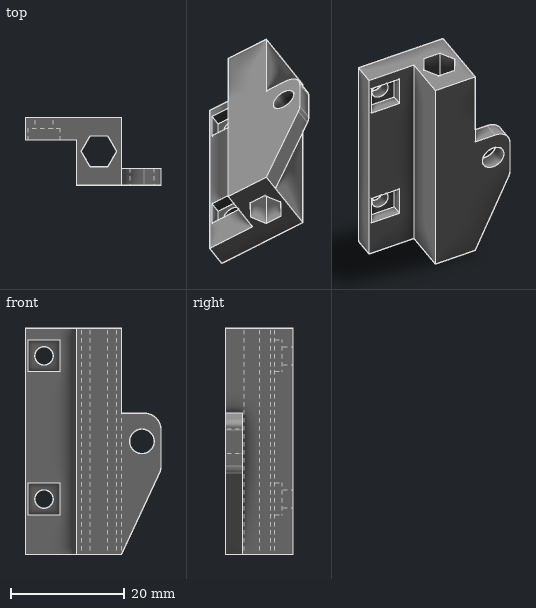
import cadquery as cq
import math

height = 40.0
depth = 12.0

plate_width = 9.0
plate_thickness = 4.0
plate_front = depth - plate_thickness

column_width = 8.0
column_right = plate_width + column_width
hex_sides = 6
hex_across_flats = 5.4
hex_across_corners = hex_across_flats / math.cos(math.pi / hex_sides)
hex_x = plate_width + column_width / 2
hex_y = depth / 2

lug_right = 24.0
lug_top = 25.0
lug_thickness = 3.0
lug_corner_radius = 3.0
lug_side_bottom = 15.0
lug_lower_radius = 3.0
pivot_diameter = 4.3
pivot_x = 20.6
pivot_z = 20.0

screw_diameter = 3.2
screw_x = 3.3
screw_heights = (9.8, 35.1)
nut_side = 5.6
nut_depth = 2.0


def make_body():
    """L-shaped profile of plate and column, extruded over the full height."""
    column = cq.Workplane("XY").box(column_width, depth, height, centered=False)
    plate = cq.Workplane("XY").box(column_right, plate_thickness, height, centered=False)
    return column.translate((plate_width, 0, 0)).union(plate.translate((0, plate_front, 0)))


def round_corner(lug, z, radius):
    """Fillet the outer lug corner at height z."""
    corner = cq.selectors.NearestToPointSelector((lug_right, lug_thickness / 2, z))
    return lug.edges(corner).fillet(radius)


def make_lug():
    """Flat lug with a sloping lower edge and rounded outer corners."""
    lug = (
        cq.Workplane("XZ")
        .moveTo(plate_width, 0)
        .lineTo(column_right, 0)
        .lineTo(lug_right, lug_side_bottom)
        .lineTo(lug_right, lug_top)
        .lineTo(plate_width, lug_top)
        .close()
        .extrude(-lug_thickness)
    )
    lug = round_corner(lug, lug_top, lug_corner_radius)
    return round_corner(lug, lug_side_bottom, lug_lower_radius)


def make_cross_hole(x, z, diameter):
    """Round cutter along Y through the whole depth."""
    return cq.Workplane("XZ").center(x, z).circle(diameter / 2).extrude(-depth)


def make_nut_pocket(z):
    """Square cutter sunk into the front face of the plate."""
    return (
        cq.Workplane("XZ", origin=(screw_x, plate_front, z))
        .rect(nut_side, nut_side)
        .extrude(-nut_depth)
    )


def make_hex_bore():
    """Hexagonal cutter along Z through the column, corners pointing along X."""
    return cq.Workplane("XY").center(hex_x, hex_y).polygon(hex_sides, hex_across_corners).extrude(height)


result = make_body().union(make_lug())
result = result.cut(make_hex_bore())
result = result.cut(make_cross_hole(pivot_x, pivot_z, pivot_diameter))
for screw_z in screw_heights:
    result = result.cut(make_cross_hole(screw_x, screw_z, screw_diameter))
    result = result.cut(make_nut_pocket(screw_z))